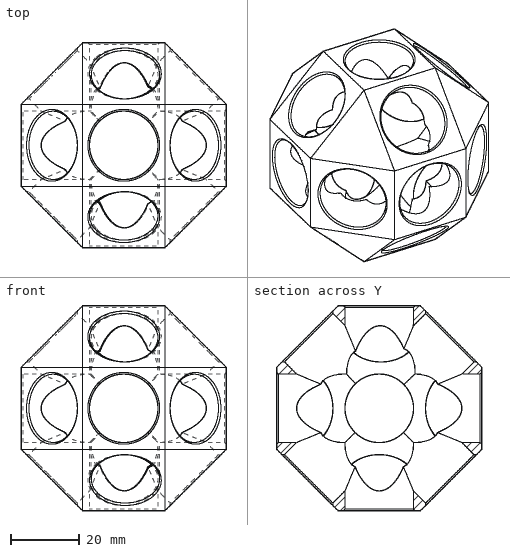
import cadquery as cq
import math

size = 60.0
square_side = 24.0
bore_diameter = 20.0
rim_diameter = 21.0
side_shift = 0.5
rim_depth = (rim_diameter - bore_diameter) / 2

half_size = size / 2
half_square = square_side / 2
edge_face_distance = (half_size + half_square) / math.sqrt(2)
corner_face_distance = (half_size + 2 * half_square) / math.sqrt(3)


def directions(axis_count):
    """Unit vectors with the given number of equal, nonzero components."""
    steps = (-1, 0, 1)
    vectors = [cq.Vector(x, y, z) for x in steps for y in steps for z in steps]
    return [v.normalized() for v in vectors if round(v.dot(v)) == axis_count]


def trim_beyond(body, direction, distance):
    """Remove everything beyond a plane facing the given direction."""
    plane = cq.Plane(origin=direction * distance, normal=direction)
    return body.cut(cq.Workplane(plane).rect(2 * size, 2 * size).extrude(size))


def bore(direction, distance):
    """Chamfered round cutter from a face to the middle of the body."""
    is_shifted = direction.y * direction.z > 0
    start = cq.Vector(side_shift if is_shifted else 0, 0, 0)
    hole = cq.Solid.makeCylinder(bore_diameter / 2, distance, start, direction)
    rim = cq.Solid.makeCone(
        bore_diameter / 2,
        rim_diameter / 2,
        rim_depth,
        start + direction * (distance - rim_depth),
        direction,
    )
    return cq.Workplane(obj=hole.fuse(rim))


body = cq.Workplane("XY").box(size, size, size)
for direction in directions(2):
    body = trim_beyond(body, direction, edge_face_distance)
for direction in directions(3):
    body = trim_beyond(body, direction, corner_face_distance)

for axis_count, distance in ((1, half_size), (2, edge_face_distance)):
    for direction in directions(axis_count):
        body = body.cut(bore(direction, distance), clean=False)

result = body